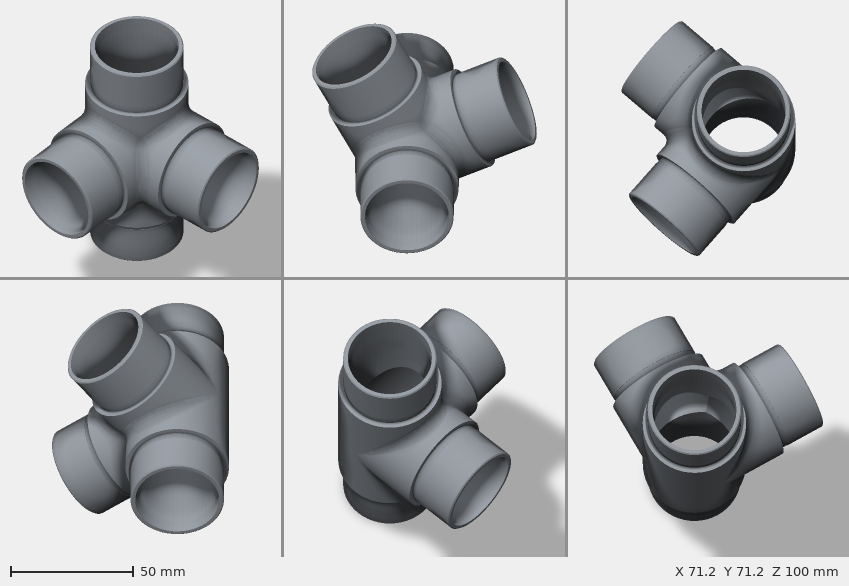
import cadquery as cq

body_diameter = 42.4
spigot_diameter = 38.3
neck_diameter = 37.9
bore_diameter = 34.4
body_reach = 30.0
neck_length = 3.0
spigot_reach = 50.0
end_chamfer = 0.5
blend_radius = 4.0

neck_end = body_reach + neck_length

UP = (0, 0, 1)
DOWN = (0, 0, -1)
RIGHT = (1, 0, 0)
FRONT = (0, -1, 0)
ARMS = (UP, DOWN, RIGHT, FRONT)

SEAMS = {UP: (-1, 0, 0), DOWN: (-1, 0, 0), RIGHT: (0, 1, 0), FRONT: (-1, 0, 0)}


def rod(direction, diameter, start, end):
    """Cylinder along an arm, between two signed distances from the centre."""
    origin = cq.Vector(*direction) * start
    plane = cq.Plane(origin=origin, xDir=SEAMS[direction], normal=direction)
    return cq.Workplane(plane).circle(diameter / 2).extrude(end - start)


def three_tubes(diameter, reach):
    """Vertical tube through the centre, joined by the right and front branches."""
    run = rod(UP, diameter, -reach, reach)
    for branch in (RIGHT, FRONT):
        run = run.union(rod(branch, diameter, 0, reach))
    return run


def blended_body():
    """Outer body with the crossing curves between the arms filleted."""
    return three_tubes(body_diameter, body_reach).edges("%ELLIPSE").fillet(blend_radius)


def spigot(direction):
    """Reduced neck and chamfered push-in end beyond the body shoulder."""
    neck = rod(direction, neck_diameter, body_reach, neck_end)
    sleeve = rod(direction, spigot_diameter, neck_end, spigot_reach)
    outer_end = cq.selectors.DirectionMinMaxSelector(cq.Vector(*direction))
    return neck.union(sleeve.faces(outer_end).chamfer(end_chamfer))


result = blended_body()
for arm in ARMS:
    result = result.union(spigot(arm))
result = result.cut(three_tubes(bore_diameter, spigot_reach))